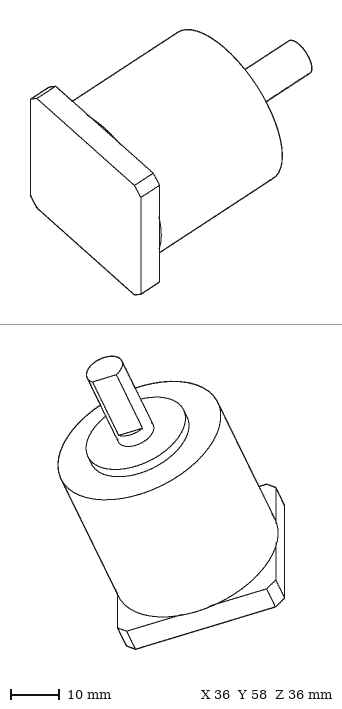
import cadquery as cq

plate_side = 35.0
plate_thickness = 5.1
plate_corner_cut = 2.05

total_length = 58.0
body_diameter = 36.0
body_length = 32.9
pilot_diameter = 22.0
pilot_length = 2.05
shaft_diameter = 8.0
shaft_flat_length = 15.0
shaft_across_flat = 7.0

body_start = plate_thickness
pilot_start = body_start + body_length
shaft_start = pilot_start + pilot_length
shaft_length = total_length - shaft_start


def cylinder_along_y(diameter, start, length):
    """Cylinder on the Y axis, from start towards +Y."""
    base = cq.Workplane("XZ", origin=(0, start, 0))
    return base.circle(diameter / 2).extrude(-length)


def mounting_plate():
    """Square plate with its four corners cut at 45 degrees."""
    plate = cq.Workplane("XZ").rect(plate_side, plate_side).extrude(-plate_thickness)
    return plate.edges("|Y").chamfer(plate_corner_cut)


def output_shaft():
    """Round shaft with a flat on the -Z side of its free end."""
    shaft = cylinder_along_y(shaft_diameter, shaft_start, shaft_length)
    flat_start = total_length - shaft_flat_length
    flat_z = shaft_diameter / 2 - shaft_across_flat
    flat_cutter = cq.Workplane("XY").box(
        shaft_diameter,
        shaft_flat_length,
        shaft_diameter,
        centered=(True, False, False),
    )
    return shaft.cut(flat_cutter.translate((0, flat_start, flat_z - shaft_diameter)))


body = cylinder_along_y(body_diameter, body_start, body_length)
pilot = cylinder_along_y(pilot_diameter, pilot_start, pilot_length)

result = mounting_plate().union(body).union(pilot).union(output_shaft())